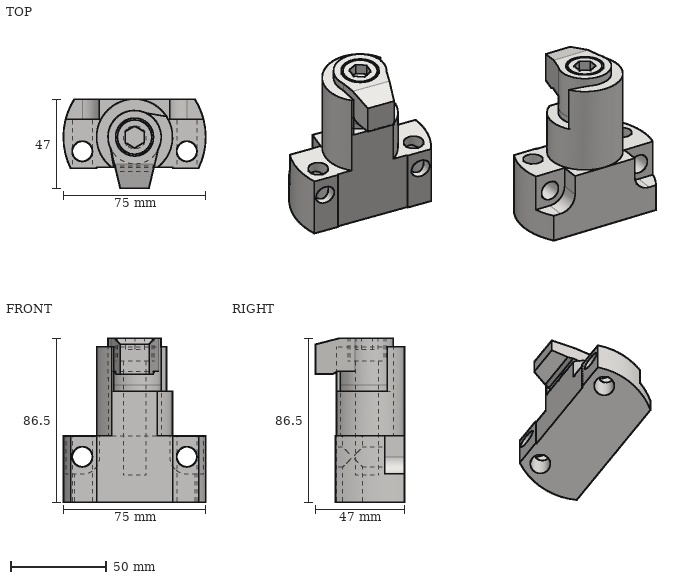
import cadquery as cq
import math


flange_diameter = 75.0
flange_height = 35.0
flange_back = 20.0
flange_front = -16.5

column_radius = 20.0
column_top = 82.0
column_front_flat = -16.0

mount_spacing = 55.0
mount_hole_diameter = 10.5
upright_hole_y = -7.5
cross_hole_z = 24.0
pocket_radius = 9.0
pocket_floor_y = 9.5

window_floor = 58.5
window_wall_angle = 10.0
window_wall_offset = 13.55

hook_top = 86.5
hook_radius = 14.0
hook_reach = 27.0
hook_tip_width = 15.2
hook_side_angle = 13.3
nose_crease_y = -14.1
nose_front_height = 83.2
arm_underside = 69.0
nose_underside = 67.5
ramp_front_y = -18.0
ramp_back_y = -15.0
hook_head_bottom = 62.0
shank_bottom = flange_height

head_diameter = 18.0
head_height = 12.0
head_bottom = hook_top - head_height
head_recess_diameter = 20.0
screw_diameter = 12.0
screw_length = 60.0
screw_bottom = head_bottom - screw_length
socket_across_flats = 10.0
socket_depth = 6.0


def cylinder(radius, bottom, top):
    """Upright cylinder on the clamp axis."""
    return cq.Workplane("XY", origin=(0, 0, bottom)).circle(radius).extrude(top - bottom)


def flange():
    """Disc with parallel back and front faces, stepped back across the width of the column."""
    depth = flange_back - flange_front
    disc = cylinder(flange_diameter / 2, 0, flange_height)
    slab = cq.Workplane("XY").box(flange_diameter, depth, flange_height, centered=(True, False, False))
    step_depth = column_front_flat - flange_front
    step = cq.Workplane("XY").box(2 * column_radius, step_depth, flange_height, centered=(True, False, False))
    to_front = (0, flange_front, 0)
    return disc.intersect(slab.translate(to_front)).cut(step.translate(to_front))


def column():
    """Round column with a flat on its front."""
    width = 2 * column_radius
    front_block = cq.Workplane("XY").box(width, column_radius, column_top, centered=(True, False, False))
    front_block = front_block.translate((0, column_front_flat - column_radius, 0))
    return cylinder(column_radius, 0, column_top).cut(front_block)


def head_pocket():
    """Right-hand pocket: rounded inner corner, open to the side, the top and the back."""
    hole_x = mount_spacing / 2
    inner_x = hole_x - pocket_radius
    outer_x = flange_diameter / 2
    diagonal = pocket_radius * math.sqrt(0.5)
    return (
        cq.Workplane("XZ", origin=(0, flange_back, 0))
        .moveTo(inner_x, flange_height)
        .lineTo(inner_x, cross_hole_z)
        .threePointArc(
            (hole_x - diagonal, cross_hole_z - diagonal),
            (hole_x, cross_hole_z - pocket_radius),
        )
        .lineTo(outer_x, cross_hole_z - pocket_radius)
        .lineTo(outer_x, flange_height)
        .close()
        .extrude(flange_back - pocket_floor_y)
    )


def mounting_cuts():
    """Right-hand upright hole, cross hole and head pocket."""
    hole_x = mount_spacing / 2
    radius = mount_hole_diameter / 2
    upright = cq.Workplane("XY").center(hole_x, upright_hole_y).circle(radius).extrude(flange_height)
    cross = (
        cq.Workplane("XZ", origin=(0, flange_back, 0))
        .center(hole_x, cross_hole_z)
        .circle(radius)
        .extrude(flange_back - flange_front)
    )
    return upright.union(cross).union(head_pocket())


def swing_window():
    """Opening towards the front right, between walls that mirror each other about the line y = -x."""
    slant = math.radians(window_wall_angle)
    far = 2 * column_radius
    foot_x = -window_wall_offset * math.cos(slant)
    foot_y = -window_wall_offset * math.sin(slant)
    far_x = foot_x + (far + foot_y) * math.tan(slant)
    left_wall = [(foot_x, foot_y), (far_x, -far)]
    right_wall = [(far, -far_x), (-foot_y, -foot_x)]
    return (
        cq.Workplane("XY", origin=(0, 0, window_floor))
        .polyline([(0, 0), *left_wall, (far, -far), *right_wall])
        .close()
        .extrude(column_top - window_floor)
    )


def build_housing():
    right_cuts = mounting_cuts()
    body = flange().union(column())
    for cuts in (right_cuts, right_cuts.mirror("YZ")):
        body = body.cut(cuts)
    body = body.cut(swing_window()).cut(cylinder(hook_radius, shank_bottom, column_top))
    return body.cut(cylinder(screw_diameter / 2, screw_bottom, shank_bottom))


def hook_arm():
    """Tapered arm, from the hook axis to the tip: its side profile cut to the plan outline."""
    half_tip = hook_tip_width / 2
    half_root = half_tip + hook_reach * math.tan(math.radians(hook_side_angle))
    plan = (
        cq.Workplane("XY")
        .polyline([(-half_tip, -hook_reach), (half_tip, -hook_reach), (half_root, 0), (-half_root, 0)])
        .close()
        .extrude(hook_top)
    )
    profile = (
        cq.Workplane("YZ", origin=(-half_root, 0, 0))
        .polyline(
            [
                (0, hook_top),
                (nose_crease_y, hook_top),
                (-hook_reach, nose_front_height),
                (-hook_reach, nose_underside),
                (ramp_front_y, nose_underside),
                (ramp_back_y, arm_underside),
                (0, arm_underside),
            ]
        )
        .close()
        .extrude(2 * half_root)
    )
    return plan.intersect(profile)


def screw_room():
    """Recess for the screw head and clearance for the screw below it."""
    recess = cylinder(head_recess_diameter / 2, head_bottom, hook_top)
    return recess.union(cylinder(screw_diameter / 2, shank_bottom, head_bottom))


def build_hook():
    room = screw_room()
    head = cylinder(hook_radius, hook_head_bottom, hook_top).union(hook_arm()).cut(room)
    shank = cylinder(hook_radius, shank_bottom, hook_head_bottom).cut(room)
    return head.union(shank, clean=False)


def build_screw():
    """Cap screw with its head flush with the top of the hook."""
    head = cylinder(head_diameter / 2, head_bottom, hook_top)
    body = head.union(cylinder(screw_diameter / 2, screw_bottom, head_bottom))
    socket = (
        cq.Workplane("XY", origin=(0, 0, hook_top - socket_depth))
        .polygon(6, socket_across_flats, circumscribed=True)
        .extrude(socket_depth)
    )
    return body.cut(socket)


housing = build_housing()
hook = build_hook()
screw = build_screw()
result = cq.Compound.makeCompound([body.solids().val() for body in (housing, hook, screw)])